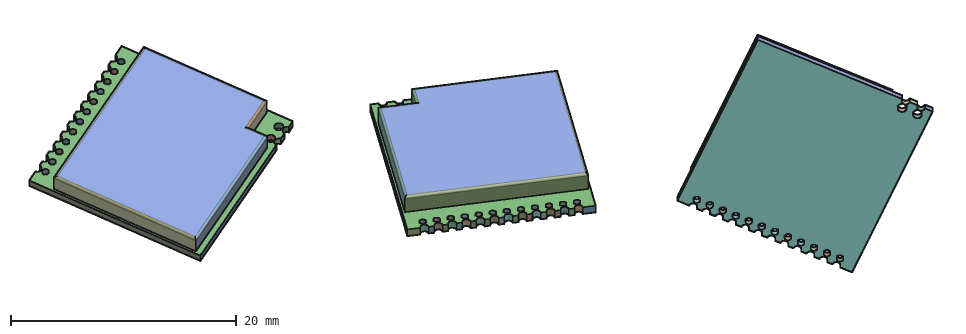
import cadquery as cq

board_length = 17.3
board_width = 17.0
board_thickness = 0.8
total_height = 2.6

can_left_margin = 2.35
can_right_margin = 0.57
can_side_margin = 0.22
can_edge_radius = 0.22
can_height = total_height - board_thickness

free_corner_length = 2.49
free_corner_width = 3.63

hole_inset = 0.8
notch_diameter = 0.75
left_hole_diameter = 0.6
left_pad_count = 12
left_pad_margin = 1.54
right_hole_diameter = 0.8
right_pad_count = 2
right_pad_margin = 1.12
right_pad_pitch = 1.49

board_right = board_length / 2
board_left = -board_right
board_back = board_width / 2
board_front = -board_back


def make_board():
    return cq.Workplane("XY").box(
        board_length, board_width, board_thickness, centered=(True, True, False)
    )


def make_can():
    """L-shaped can with its top edges rounded."""
    left = board_left + can_left_margin
    right = board_right - can_right_margin
    front = board_front + can_side_margin
    back = board_back - can_side_margin
    step_x = board_right - free_corner_length
    step_y = board_back - free_corner_width
    outline = [
        (left, front),
        (right, front),
        (right, step_y),
        (step_x, step_y),
        (step_x, back),
        (left, back),
    ]
    can = cq.Workplane("XY").workplane(offset=board_thickness).polyline(outline).close().extrude(can_height)
    return can.faces(">Z").edges().fillet(can_edge_radius)


def cut_round(board, points, diameter):
    cutters = cq.Workplane("XY").pushPoints(points).circle(diameter / 2).extrude(board_thickness)
    return board.cut(cutters)


def cut_pads(board, edge_x, hole_x, pad_rows, hole_diameter):
    """Cut a hole and an edge notch at every pad row along one board edge."""
    board = cut_round(board, [(hole_x, y) for y in pad_rows], hole_diameter)
    return cut_round(board, [(edge_x, y) for y in pad_rows], notch_diameter)


left_pad_pitch = (board_width - 2 * left_pad_margin) / (left_pad_count - 1)
left_rows = [board_back - left_pad_margin - i * left_pad_pitch for i in range(left_pad_count)]
right_rows = [board_back - right_pad_margin - i * right_pad_pitch for i in range(right_pad_count)]

board = make_board()
board = cut_pads(board, board_left, board_left + hole_inset, left_rows, left_hole_diameter)
board = cut_pads(board, board_right, board_right - hole_inset, right_rows, right_hole_diameter)

result = board.union(make_can())